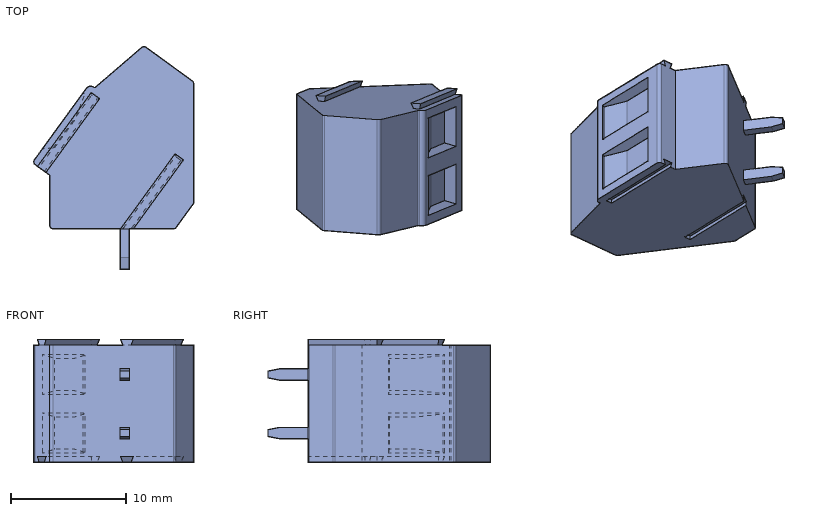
import cadquery as cq
import math


PITCH = 5.08
POLE_COUNT = 2
BODY_HEIGHT = POLE_COUNT * PITCH
BODY_WIDTH = 12.5
EDGE_RADIUS = 0.3
ENTRY_LIP_RADIUS = 0.45
SHOULDER_RADIUS = 0.1
TILT = 54.0
ENTRY_FOOT_Y = 4.65
ENTRY_OVERHANG = 1.51
ENTRY_LENGTH = 8.43
ENTRY_STEP = 0.56
APEX = (8.16, 15.9)
CHAMFER_FOOT_X = 10.88

DOVETAIL_HEIGHT = 0.5
DOVETAIL_WIDTH = 0.9
DOVETAIL_INSET = 0.16
ENTRY_DOVETAIL_SETBACK = 0.56
ENTRY_DOVETAIL_END = 7.92
PIN_DOVETAIL_X = 6.14
PIN_DOVETAIL_END = 8.05

POCKET_LENGTH = 6.0
POCKET_HEIGHT = 3.5
POCKET_END_MARGIN = 1.48
POCKET_DEPTH = 0.8
POCKET_NEAR_TAPER = 0.7
POCKET_FAR_TAPER = 2.33
POCKET_SIDE_TAPER = 0.35
FAR_RIM_DEPTH = 0.2

PIN_WIDTH = 0.8
PIN_THICKNESS = 1.0
PIN_LENGTH = 3.5
PIN_X = 6.5
PIN_TIP_LENGTH = 1.0
PIN_TIP_THICKNESS = 0.6

COS_TILT = math.cos(math.radians(TILT))
SIN_TILT = math.sin(math.radians(TILT))
ENTRY_CORNER = (-ENTRY_OVERHANG, ENTRY_FOOT_Y + ENTRY_OVERHANG * COS_TILT / SIN_TILT)
POLE_HEIGHTS = [(pole + 0.5) * PITCH for pole in range(POLE_COUNT)]


def tilted_point(along, inward, start=ENTRY_CORNER):
    """Point reached from start by going along the entry direction and then into the body."""
    return (
        start[0] + along * COS_TILT + inward * SIN_TILT,
        start[1] + along * SIN_TILT - inward * COS_TILT,
    )


def make_outline():
    """Corners of the housing in plan, each paired with its rounding radius."""
    chamfer_rise = (BODY_WIDTH - CHAMFER_FOOT_X) * SIN_TILT / COS_TILT
    far_corner_y = APEX[1] - (BODY_WIDTH - APEX[0]) * COS_TILT / SIN_TILT
    return [
        ((0, 0), EDGE_RADIUS),
        ((CHAMFER_FOOT_X, 0), EDGE_RADIUS),
        ((BODY_WIDTH, chamfer_rise), EDGE_RADIUS),
        ((BODY_WIDTH, far_corner_y), EDGE_RADIUS),
        (APEX, EDGE_RADIUS),
        (tilted_point(ENTRY_LENGTH, ENTRY_STEP), SHOULDER_RADIUS),
        (tilted_point(ENTRY_LENGTH, 0), ENTRY_LIP_RADIUS),
        (ENTRY_CORNER, EDGE_RADIUS),
        ((0, ENTRY_FOOT_Y), 0),
    ]


def make_housing():
    """Extruded housing with its upright edges rounded."""
    outline = make_outline()
    corners = [corner for corner, _ in outline]
    housing = cq.Workplane("XY").polyline(corners).close().extrude(BODY_HEIGHT)
    for corner, radius in outline:
        if radius > 0:
            nearest = cq.selectors.NearestToPointSelector((*corner, BODY_HEIGHT / 2))
            housing = housing.edges("|Z").edges(nearest).fillet(radius)
    return housing


def dovetail(start, base_z, length, overrun):
    """Dovetail bar widening upwards, starting overrun ahead of start and undercut at its end."""
    def section(inset):
        return [
            tilted_point(-overrun, inset, start),
            tilted_point(length - inset, inset, start),
            tilted_point(length - inset, DOVETAIL_WIDTH - inset, start),
            tilted_point(-overrun, DOVETAIL_WIDTH - inset, start),
        ]
    root = cq.Workplane("XY").workplane(offset=base_z).polyline(section(DOVETAIL_INSET)).close()
    crown = root.workplane(offset=DOVETAIL_HEIGHT).polyline(section(0)).close()
    return crown.loft(ruled=True)


def make_dovetails(base_z):
    """Both dovetail bars at one height, cut flush with the walls they start from."""
    overrun = 2 * DOVETAIL_WIDTH
    entry_bar = dovetail(
        tilted_point(0, ENTRY_DOVETAIL_SETBACK), base_z, ENTRY_DOVETAIL_END, 0
    )
    pin_bar = dovetail((PIN_DOVETAIL_X, 0), base_z, PIN_DOVETAIL_END, overrun)
    beyond_pin_side = cq.Workplane("XY").box(
        2 * BODY_WIDTH, 2 * overrun, 2 * DOVETAIL_HEIGHT, centered=(True, False, True)
    ).translate((PIN_DOVETAIL_X, -2 * overrun, base_z + DOVETAIL_HEIGHT / 2))
    return entry_bar.union(pin_bar.cut(beyond_pin_side))


def wire_entry(centre_z):
    """Pocket narrowing to a flat floor; its far end starts with a short straight rim."""
    near = POCKET_END_MARGIN
    far = near + POCKET_LENGTH
    plan = [
        tilted_point(near, 0),
        tilted_point(far, 0),
        tilted_point(far, FAR_RIM_DEPTH),
        tilted_point(far - POCKET_FAR_TAPER, POCKET_DEPTH),
        tilted_point(near + POCKET_NEAR_TAPER, POCKET_DEPTH),
    ]
    half_height = POCKET_HEIGHT / 2
    floor_half = half_height - POCKET_SIDE_TAPER
    cross_section = [
        (0, -half_height),
        (POCKET_DEPTH, -floor_half),
        (POCKET_DEPTH, floor_half),
        (0, half_height),
    ]
    section_plane = cq.Plane(
        origin=(*ENTRY_CORNER, 0),
        xDir=(SIN_TILT, -COS_TILT, 0),
        normal=(COS_TILT, SIN_TILT, 0),
    )
    block = cq.Workplane("XY").polyline(plan).close().extrude(half_height, both=True)
    wedge = cq.Workplane(section_plane).polyline(cross_section).close().extrude(ENTRY_LENGTH)
    return block.intersect(wedge).translate((0, 0, centre_z))


def pin(centre_z):
    """Flat solder pin pointing to -Y, tapered in thickness at its tip."""
    half = PIN_THICKNESS / 2
    tip_half = PIN_TIP_THICKNESS / 2
    shoulder_y = -PIN_LENGTH + PIN_TIP_LENGTH
    profile = [
        (0, -half),
        (shoulder_y, -half),
        (-PIN_LENGTH, -tip_half),
        (-PIN_LENGTH, tip_half),
        (shoulder_y, half),
        (0, half),
    ]
    blade = cq.Workplane("YZ").polyline(profile).close().extrude(PIN_WIDTH / 2, both=True)
    return blade.translate((PIN_X, 0, centre_z))


result = make_housing().union(make_dovetails(BODY_HEIGHT)).cut(make_dovetails(0))
for pole_z in POLE_HEIGHTS:
    result = result.cut(wire_entry(pole_z)).union(pin(pole_z))